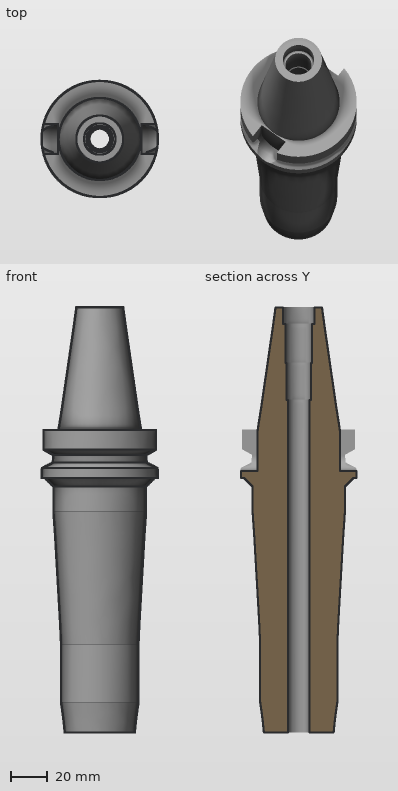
import cadquery as cq
import math


gauge_diameter = 44.45
taper_ratio = 7 / 24
taper_length = 65.4
taper_tip_diameter = gauge_diameter - taper_ratio * taper_length

flange_diameter = 63.0
flange_top = 1.0
flange_bottom = 27.0
groove_center = 16.6
groove_diameter = 53.0
groove_floor_width = 4.2
groove_wall_angle = 30.0
collar_diameter = 59.3

neck_diameter = 50.3
neck_bottom = 45.0
nose_diameter = 42.0
nose_top = 117.0
nose_bottom = 148.4
nose_tip_diameter = 38.0
body_length = 164.7

slot_width = 16.1
slot_floor_offset = 22.5
slot_depth = 23.0

pull_stud_bore = (17.0, 9.0)
thread_bore = (14.2, 30.0)
clearance_bore = (13.0, 50.0)
through_bore_diameter = 11.2


def make_body():
    """Revolve the outer profile of shank, flange and chuck body."""
    groove_wall_run = (flange_diameter - groove_diameter) / 2
    groove_wall_height = groove_wall_run * math.tan(math.radians(groove_wall_angle))
    groove_floor_top = groove_center - groove_floor_width / 2
    groove_floor_bottom = groove_center + groove_floor_width / 2
    cone_bottom = flange_bottom + (collar_diameter - neck_diameter) / 2

    stations = [
        (taper_tip_diameter, -taper_length),
        (gauge_diameter, 0),
        (gauge_diameter, flange_top),
        (flange_diameter, flange_top),
        (flange_diameter, groove_floor_top - groove_wall_height),
        (groove_diameter, groove_floor_top),
        (groove_diameter, groove_floor_bottom),
        (flange_diameter, groove_floor_bottom + groove_wall_height),
        (flange_diameter, flange_bottom),
        (collar_diameter, flange_bottom),
        (neck_diameter, cone_bottom),
        (neck_diameter, neck_bottom),
        (nose_diameter, nose_top),
        (nose_diameter, nose_bottom),
        (nose_tip_diameter, body_length),
    ]
    outline = [(diameter / 2, -depth) for diameter, depth in stations]
    closed_outline = [(0, taper_length)] + outline + [(0, -body_length)]
    profile = cq.Workplane("YZ").polyline(closed_outline).close()
    return profile.revolve(360, (0, 0, 0), (0, 1, 0))


def make_drive_slot(side):
    """Round-ended slot cutter; side is +1 for +X and -1 for -X."""
    half_width = slot_width / 2
    arc_center = -slot_depth + half_width
    radial_length = flange_diameter / 2 - slot_floor_offset
    return (
        cq.Workplane("YZ", origin=(side * slot_floor_offset, 0, 0))
        .moveTo(-half_width, 0)
        .lineTo(-half_width, arc_center)
        .threePointArc((0, -slot_depth), (half_width, arc_center))
        .lineTo(half_width, 0)
        .close()
        .extrude(side * radial_length)
    )


def make_bore(diameter, depth):
    """Cylinder reaching down from the shank end."""
    return cq.Workplane("XY", origin=(0, 0, taper_length)).circle(diameter / 2).extrude(-depth)


result = make_body()
for slot_side in (1, -1):
    result = result.cut(make_drive_slot(slot_side))
for bore_diameter, bore_depth in (pull_stud_bore, thread_bore, clearance_bore):
    result = result.cut(make_bore(bore_diameter, bore_depth))
result = result.cut(make_bore(through_bore_diameter, taper_length + body_length))